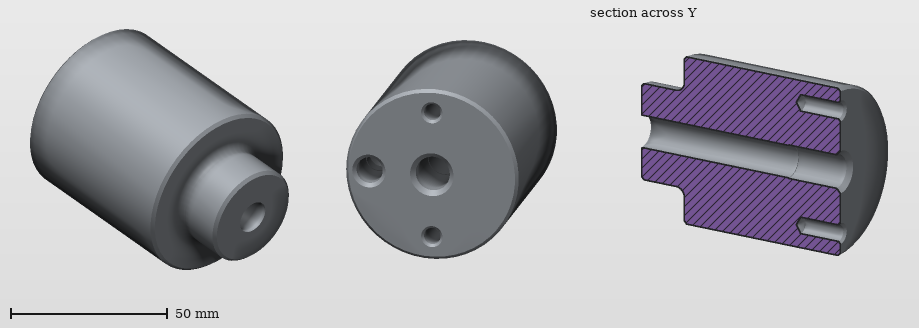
import cadquery as cq
import math

total_length = 76.7
body_diameter = 56.35
body_length = 60.3
spigot_diameter = 32.5
edge_chamfer = 1.0
root_fillet = 3.0

bore_diameter = 10.7
bore_mouth_diameter = 11.1
bore_mouth_depth = 19.9
bore_countersink_diameter = 14.2
pin_hole_diameter = 5.4
pin_countersink_diameter = 7.0
screw_hole_diameter = 8.0
screw_mouth_diameter = 8.5
screw_mouth_depth = 15.3
screw_countersink_diameter = 10.9
hole_circle_radius = 20.55
pin_hole_depth = 15.3
screw_hole_depth = 19.9
countersink_angle = 90.0
drill_tip_angle = 118.0


def cone_height(radial_step, included_angle):
    """Axial length of a cone that changes radius by radial_step."""
    return radial_step / math.tan(math.radians(included_angle / 2))


def revolve_about_x(points):
    """Solid of revolution from (x, radius) points."""
    return cq.Workplane("XY").polyline(points).close().revolve(360, (0, 0, 0), (1, 0, 0))


def make_body():
    body_radius = body_diameter / 2
    spigot_radius = spigot_diameter / 2
    fillet_end = body_length + root_fillet
    fillet_middle = root_fillet * (1 - math.sqrt(0.5))
    return (
        cq.Workplane("XY")
        .lineTo(0, body_radius - edge_chamfer)
        .lineTo(edge_chamfer, body_radius)
        .lineTo(body_length - edge_chamfer, body_radius)
        .lineTo(body_length, body_radius - edge_chamfer)
        .lineTo(body_length, spigot_radius + root_fillet)
        .threePointArc(
            (body_length + fillet_middle, spigot_radius + fillet_middle),
            (fillet_end, spigot_radius),
        )
        .lineTo(total_length - edge_chamfer, spigot_radius)
        .lineTo(total_length, spigot_radius - edge_chamfer)
        .lineTo(total_length, 0)
        .close()
        .revolve(360, (0, 0, 0), (1, 0, 0))
    )


def mouth_profile(diameter, countersink_diameter, depth):
    """Points from the axis over the countersink and along the wall to depth."""
    radius = diameter / 2
    sink_radius = countersink_diameter / 2
    sink_depth = cone_height(sink_radius - radius, countersink_angle)
    return [(0, 0), (0, sink_radius), (sink_depth, radius), (depth, radius)]


def through_bore():
    radius = bore_diameter / 2
    return revolve_about_x(
        mouth_profile(bore_mouth_diameter, bore_countersink_diameter, bore_mouth_depth)
        + [(bore_mouth_depth, radius), (total_length, radius), (total_length, 0)]
    )


def drill_tip(diameter, depth):
    """Apex of the conical bottom of a hole whose wall ends at depth."""
    return (depth + cone_height(diameter / 2, drill_tip_angle), 0)


def pin_hole():
    return revolve_about_x(
        mouth_profile(pin_hole_diameter, pin_countersink_diameter, pin_hole_depth)
        + [drill_tip(pin_hole_diameter, pin_hole_depth)]
    )


def screw_hole():
    radius = screw_hole_diameter / 2
    return revolve_about_x(
        mouth_profile(screw_mouth_diameter, screw_countersink_diameter, screw_mouth_depth)
        + [(screw_mouth_depth, radius), (screw_hole_depth, radius)]
        + [drill_tip(screw_hole_diameter, screw_hole_depth)]
    )


result = make_body().cut(through_bore())
for side in (-1, 1):
    result = result.cut(pin_hole().translate((0, 0, side * hole_circle_radius)))
result = result.cut(screw_hole().translate((0, hole_circle_radius, 0)))